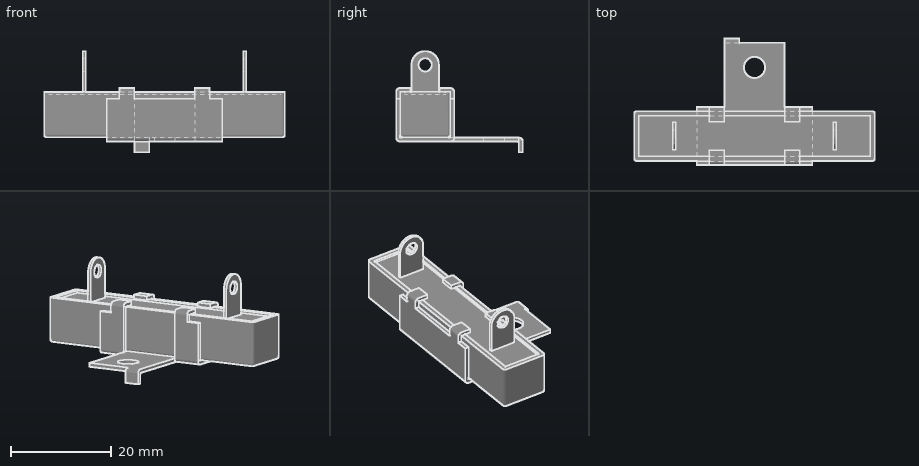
import cadquery as cq


case_length = 48.0
case_width = 10.0
case_height = 9.05
case_rounding = 0.6
rim_width = 0.95
recess_depth = 0.5

lug_spacing = 31.95
lug_thickness = 0.6
lug_width = 5.5
lug_rise = 8.15
lug_hole_diameter = 2.6

sheet = 0.8
bracket_length = 23.05
bend_radius = sheet
wall_drop = 1.35
tab_width = 3.0
tab_reach = 2.95
tab_inner_gap = 12.0

flange_width = tab_inner_gap
flange_hole_diameter = 4.2
flange_hole_from_tip = 5.8
hook_thickness = 0.85
hook_drop = 2.15
hook_inner_radius = 0.25
total_width = 25.3

bracket_width = case_width + 2 * sheet
bracket_bottom = -sheet
bracket_top = case_height + sheet
tab_center_x = (tab_inner_gap + tab_width) / 2
flange_tip_y = total_width - bracket_width / 2


def box(x_range, y_range, z_range):
    """Axis-aligned block spanning the three given ranges."""
    size = [high - low for low, high in (x_range, y_range, z_range)]
    corner = (x_range[0], y_range[0], z_range[0])
    return cq.Workplane("XY").box(*size, centered=False).translate(corner)


def make_lug(x):
    """Upright round-ended solder lug standing on the recess floor."""
    foot_z = case_height - recess_depth
    eye_z = case_height + lug_rise - lug_width / 2
    plate = box(
        (x - lug_thickness / 2, x + lug_thickness / 2),
        (-lug_width / 2, lug_width / 2),
        (foot_z, eye_z),
    )
    eye_plane = cq.Workplane("YZ", origin=(x - lug_thickness / 2, 0, eye_z))
    head = eye_plane.circle(lug_width / 2).extrude(lug_thickness)
    hole = eye_plane.circle(lug_hole_diameter / 2).extrude(lug_thickness)
    return plate.union(head).cut(hole)


def make_case():
    """Rounded block with a shallow rimmed recess on top and two lugs."""
    case = cq.Workplane("XY").box(case_length, case_width, case_height, centered=(True, True, False))
    case = case.edges("|Z or <Z").fillet(case_rounding)
    case = (
        case.faces(">Z")
        .workplane()
        .rect(case_length - 2 * rim_width, case_width - 2 * rim_width)
        .cutBlind(-recess_depth)
    )
    for side in (-1, 1):
        case = case.union(make_lug(side * lug_spacing / 2))
    return case


def make_channel():
    """Sleeve around the case, opened on top so that only four folded tabs remain."""
    half_length = bracket_length / 2
    half_width = bracket_width / 2
    x_span = (-half_length, half_length)
    y_span = (-half_width, half_width)
    sleeve = box(x_span, y_span, (bracket_bottom, bracket_top)).edges("|X").fillet(bend_radius)
    sleeve = sleeve.cut(box(x_span, (-case_width / 2, case_width / 2), (0, case_height)))

    above_walls = (case_height - wall_drop, bracket_top)
    opening = box(x_span, y_span, above_walls)
    for side in (-1, 1):
        center = side * tab_center_x
        opening = opening.cut(box((center - tab_width / 2, center + tab_width / 2), y_span, above_walls))

    tab_end_y = half_width - tab_reach
    tab_gap = box(x_span, (-tab_end_y, tab_end_y), (case_height, bracket_top))

    flange_window = box((-flange_width / 2, flange_width / 2), (case_width / 2, half_width), (0, bracket_top))
    return sleeve.cut(opening).cut(tab_gap).cut(flange_window)


def make_flange():
    """Mounting flange behind the case, with a hole and a hook folded down at its tip."""
    left = -flange_width / 2
    hook_inner_y = flange_tip_y - hook_thickness
    plate = box((left, -left), (case_width / 2, hook_inner_y), (bracket_bottom, 0))
    hole = (
        cq.Workplane("XY", origin=(0, flange_tip_y - flange_hole_from_tip, bracket_bottom))
        .circle(flange_hole_diameter / 2)
        .extrude(sheet)
    )
    hook = box((left, left + tab_width), (hook_inner_y, flange_tip_y), (bracket_bottom - hook_drop, 0))
    hook = hook.edges("|X and >Y and >Z").fillet(bend_radius)
    flange = plate.cut(hole).union(hook)
    inner_bend = cq.selectors.NearestToPointSelector((left + tab_width / 2, hook_inner_y, bracket_bottom))
    return flange.edges(inner_bend).fillet(hook_inner_radius)


case = make_case()
bracket = make_channel().union(make_flange())

result = cq.Compound.makeCompound([case.val(), bracket.val()])